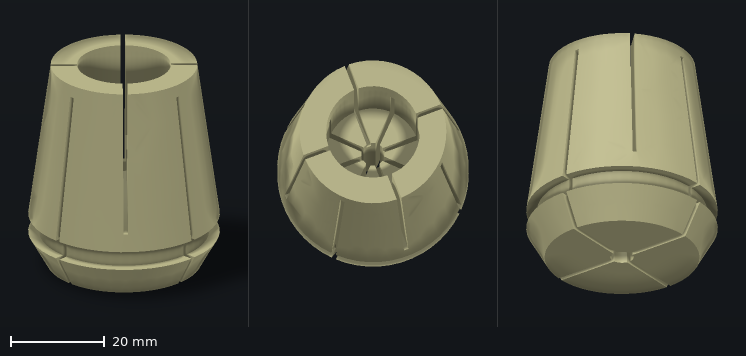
import cadquery as cq
import math

height = 46.0
max_radius = 20.495
base_radius = 16.55
top_radius = 15.7
groove_radius = 18.2
groove_bottom = 7.05
groove_top = 11.2

bore_radius = 10.05
bore_floor = 25.02
pilot_radius = 2.5

slot_width = 1.0
slot_reach = 23.0
lower_slot_outer_top = 43.45
lower_slot_inner_top = 38.8
upper_slot_bottom = 15.1
saw_radius = 25.02


def taper_radius(z):
    """Outer radius of the long taper at height z."""
    return max_radius + (top_radius - max_radius) * (z - groove_top) / (height - groove_top)


def make_body():
    """Revolve the grooved double taper around Z."""
    return (
        cq.Workplane("XZ")
        .moveTo(0, 0)
        .lineTo(base_radius, 0)
        .lineTo(max_radius, groove_bottom)
        .lineTo(groove_radius, groove_bottom)
        .lineTo(groove_radius, groove_top)
        .lineTo(max_radius, groove_top)
        .lineTo(top_radius, height)
        .lineTo(0, height)
        .close()
        .revolve(360, (0, 0, 0), (0, 1, 0))
    )


def make_bore():
    """Wide bore from the top and a narrow pilot hole through the rest."""
    bore = cq.Workplane("XY").workplane(offset=bore_floor).circle(bore_radius).extrude(height - bore_floor)
    return bore.union(cq.Workplane("XY").circle(pilot_radius).extrude(height))


def make_lower_slot():
    """Slot open at the base, with a roof that slopes down to the bore wall."""
    outer_radius = taper_radius(lower_slot_outer_top)
    roof_slope = (lower_slot_outer_top - lower_slot_inner_top) / (outer_radius - bore_radius)
    reach_top = lower_slot_outer_top + roof_slope * (slot_reach - outer_radius)
    axis_top = lower_slot_inner_top - roof_slope * bore_radius
    return (
        cq.Workplane("XZ")
        .polyline([(0, 0), (slot_reach, 0), (slot_reach, reach_top), (0, axis_top)])
        .close()
        .extrude(slot_width / 2, both=True)
    )


def make_upper_slot():
    """Slot open at the top, with a floor that curves up towards the axis."""
    arc_start = taper_radius(upper_slot_bottom)
    arc_center_z = upper_slot_bottom + saw_radius
    arc_angle = math.asin(arc_start / saw_radius)
    arc_middle = (
        arc_start - saw_radius * math.sin(arc_angle / 2),
        arc_center_z - saw_radius * math.cos(arc_angle / 2),
    )
    arc_end = (0, arc_center_z - saw_radius * math.cos(arc_angle))
    return (
        cq.Workplane("XZ")
        .moveTo(0, height)
        .lineTo(slot_reach, height)
        .lineTo(slot_reach, upper_slot_bottom)
        .lineTo(arc_start, upper_slot_bottom)
        .threePointArc(arc_middle, arc_end)
        .close()
        .extrude(slot_width / 2, both=True)
    )


result = make_body().cut(make_bore())

lower_slot = make_lower_slot()
upper_slot = make_upper_slot()
for angle in (0, 90, 180, 270):
    result = result.cut(lower_slot.rotate((0, 0, 0), (0, 0, 1), angle))
    result = result.cut(upper_slot.rotate((0, 0, 0), (0, 0, 1), angle + 45))